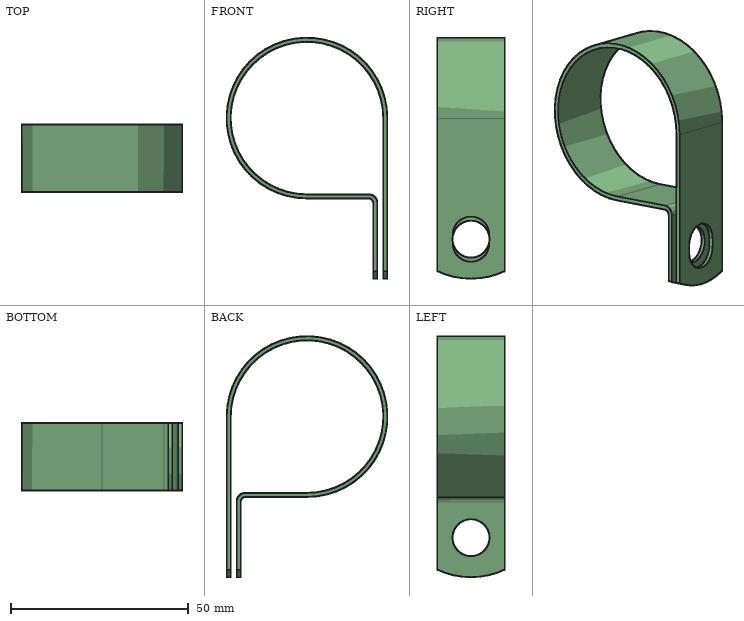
import cadquery as cq
import math

inner_diameter = 42.86
thickness = 1.215
width = 19.05
drop = 45.215
leg_gap = 1.5875
bend_inner_radius = 1.3
hole_diameter = 10.32
slot_length = 12.7
slot_angle = 90
hole_to_tip = 11.15
tip_radius = 22.225

inner_radius = inner_diameter / 2
outer_radius = inner_radius + thickness
bend_outer_radius = bend_inner_radius + thickness
short_leg_right = inner_radius - leg_gap
short_leg_left = short_leg_right - thickness
bend_center_x = short_leg_right - bend_outer_radius
bend_center_z = -inner_radius - bend_outer_radius
diagonal = math.sqrt(0.5)


def strap():
    """Loop, straight long leg, and short leg bent down from the loop's flat bottom."""
    bend_outer_mid = (bend_center_x + bend_outer_radius * diagonal,
                      bend_center_z + bend_outer_radius * diagonal)
    bend_inner_mid = (bend_center_x + bend_inner_radius * diagonal,
                      bend_center_z + bend_inner_radius * diagonal)
    loop_outer_mid = (-outer_radius * diagonal, outer_radius * diagonal)
    loop_inner_mid = (-inner_radius * diagonal, inner_radius * diagonal)
    return (
        cq.Workplane("XZ")
        .moveTo(outer_radius, -drop)
        .lineTo(outer_radius, 0)
        .threePointArc(loop_outer_mid, (0, -outer_radius))
        .lineTo(bend_center_x, -outer_radius)
        .threePointArc(bend_inner_mid, (short_leg_left, bend_center_z))
        .lineTo(short_leg_left, -drop)
        .lineTo(short_leg_right, -drop)
        .lineTo(short_leg_right, bend_center_z)
        .threePointArc(bend_outer_mid, (bend_center_x, -inner_radius))
        .lineTo(0, -inner_radius)
        .threePointArc(loop_inner_mid, (inner_radius, 0))
        .lineTo(inner_radius, -drop)
        .close()
        .extrude(width / 2, both=True)
    )


def rounded_end_envelope():
    """Block around the strap whose lower end is the arc that rounds the leg tips."""
    half_width = width / 2
    corner_z = -drop + tip_radius - math.sqrt(tip_radius**2 - half_width**2)
    return (
        cq.Workplane("YZ")
        .moveTo(-half_width, outer_radius)
        .lineTo(-half_width, corner_z)
        .threePointArc((0, -drop), (half_width, corner_z))
        .lineTo(half_width, outer_radius)
        .close()
        .extrude(outer_radius, both=True)
    )


def leg_plane(leg_left):
    """Workplane on the left face of a leg, centred on the bolt axis."""
    return cq.Workplane("YZ", origin=(leg_left, 0, hole_to_tip - drop))


def short_leg_hole():
    """Round bolt hole through the short leg."""
    return leg_plane(short_leg_left).circle(hole_diameter / 2).extrude(thickness)


def long_leg_slot():
    """Slot through the long leg, lengthened along Z for adjustment."""
    return leg_plane(inner_radius).slot2D(slot_length, hole_diameter, slot_angle).extrude(thickness)


result = (
    strap()
    .intersect(rounded_end_envelope())
    .cut(short_leg_hole())
    .cut(long_leg_slot())
)